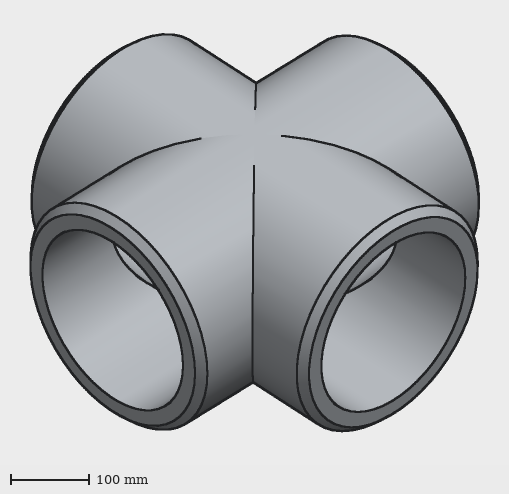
import cadquery as cq

overall_length = 508.0
outer_diameter = 324.0
bore_diameter = 257.5
chamfer_size = 11.0


def centred_cylinder(plane, diameter):
    """Full-length cylinder along the normal of the given plane."""
    return cq.Workplane(plane).circle(diameter / 2).extrude(overall_length / 2, both=True)


def pipe_body(plane):
    """Solid pipe with a chamfered outer edge at both ends."""
    return centred_cylinder(plane, outer_diameter).edges("%CIRCLE").chamfer(chamfer_size)


branch_planes = ("YZ", "XZ")

result = cq.Workplane("XY")
for branch_plane in branch_planes:
    result = result.union(pipe_body(branch_plane))

for branch_plane in branch_planes:
    result = result.cut(centred_cylinder(branch_plane, bore_diameter))